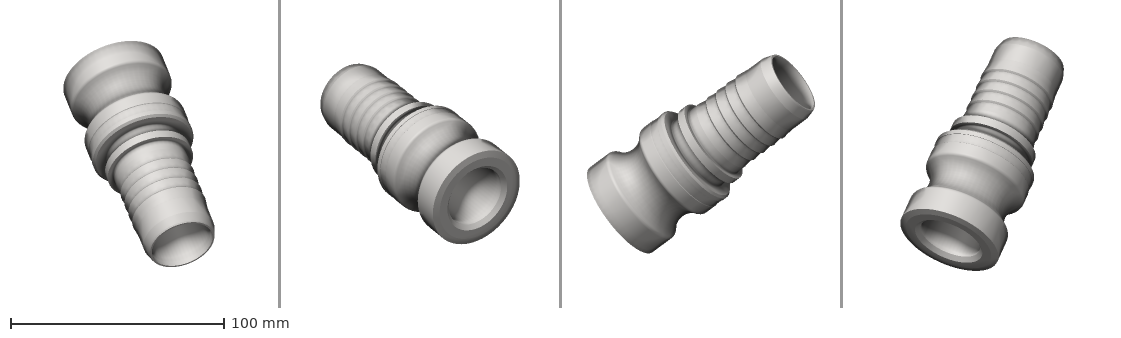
import cadquery as cq
import math

length = 107.0
bore_radius = 30.0 / 2
bore_chamfer = 2.0

head_radius = 49.5 / 2
face_radius = 43.0 / 2
face_bevel_length = 0.9
head_end = 47.8
head_end_chamfer = 1.1

waist_center = 23.4
waist_radius = 19.6
waist_arc_radius = 11.5
shoulder_round = 2.2

band_radius = 49.0 / 2
band_start = 39.7
band_end = 44.5

neck_radius = 37.0 / 2
collar_radius = 42.0 / 2
collar_start = 53.8
collar_end = 57.9
corner_fillet = 0.5

barb_radius = 36.5 / 2
sleeve_radius = 35.0 / 2
barb_start = 62.9
barb_pitch = 6.0
barb_count = 5
barb_rise_length = 0.9
tip_start = 102.0
tip_round_end = 106.4
tip_round_radius = 16.2
tip_radius = 15.8
tip_arc_bulge = 0.09


def draw_face_and_waist(outline):
    """Bevelled face, front land, waist and rear land, up to the band."""
    arc_height = waist_radius + waist_arc_radius
    round_height = head_radius - shoulder_round
    center_distance = waist_arc_radius + shoulder_round
    rise = arc_height - round_height
    round_offset = math.sqrt(center_distance**2 - rise**2)
    angle = math.atan2(round_offset, rise)

    tangent_offset = waist_arc_radius * math.sin(angle)
    tangent_height = arc_height - waist_arc_radius * math.cos(angle)
    mid_offset = round_offset - shoulder_round * math.sin(angle / 2)
    mid_height = round_height + shoulder_round * math.cos(angle / 2)

    return (
        outline.lineTo(0, face_radius)
        .lineTo(face_bevel_length, head_radius)
        .lineTo(waist_center - round_offset, head_radius)
        .threePointArc(
            (waist_center - mid_offset, mid_height),
            (waist_center - tangent_offset, tangent_height),
        )
        .threePointArc(
            (waist_center, waist_radius),
            (waist_center + tangent_offset, tangent_height),
        )
        .threePointArc(
            (waist_center + mid_offset, mid_height),
            (waist_center + round_offset, head_radius),
        )
        .lineTo(band_start, head_radius)
    )


def draw_band_and_head_end(outline):
    """Shallow band with a 45 degree front step, and the chamfered rear edge of the head."""
    return (
        outline.lineTo(band_start + head_radius - band_radius, band_radius)
        .lineTo(band_end, band_radius)
        .lineTo(band_end, head_radius)
        .lineTo(head_end - head_end_chamfer, head_radius)
        .lineTo(head_end, head_radius - head_end_chamfer)
    )


def fillet_down(outline, wall, radius):
    """Run down a wall and round the corner onto a cylinder behind it."""
    inset = corner_fillet * (1 - math.sqrt(0.5))
    return outline.lineTo(wall, radius + corner_fillet).threePointArc(
        (wall + inset, radius + inset), (wall + corner_fillet, radius)
    )


def fillet_up(outline, wall, radius):
    """Run along a cylinder and round the corner onto the wall ahead of it."""
    inset = corner_fillet * (1 - math.sqrt(0.5))
    return outline.lineTo(wall - corner_fillet, radius).threePointArc(
        (wall - inset, radius + inset), (wall, radius + corner_fillet)
    )


def draw_neck_and_collar(outline):
    outline = fillet_down(outline, head_end, neck_radius)
    outline = fillet_up(outline, collar_start, neck_radius)
    outline = outline.lineTo(collar_start, collar_radius).lineTo(collar_end, collar_radius)
    return fillet_down(outline, collar_end, barb_radius)


def draw_hose_tail(outline):
    outline = outline.lineTo(barb_start, barb_radius)
    for barb in range(1, barb_count):
        peak = barb_start + barb * barb_pitch
        outline = outline.lineTo(peak - barb_rise_length, sleeve_radius).lineTo(peak, barb_radius)

    tip_middle = (tip_start + tip_round_end) / 2
    tip_middle_radius = (sleeve_radius + tip_round_radius) / 2 + tip_arc_bulge
    return (
        outline.lineTo(barb_start + barb_count * barb_pitch, sleeve_radius)
        .lineTo(tip_start, sleeve_radius)
        .threePointArc((tip_middle, tip_middle_radius), (tip_round_end, tip_round_radius))
        .lineTo(length, tip_radius)
    )


outline = cq.Workplane("XY").moveTo(bore_chamfer, bore_radius).lineTo(0, bore_radius + bore_chamfer)
outline = draw_face_and_waist(outline)
outline = draw_band_and_head_end(outline)
outline = draw_neck_and_collar(outline)
outline = draw_hose_tail(outline)
outline = outline.lineTo(length, bore_radius).close()

result = outline.revolve(360, (0, 0, 0), (1, 0, 0))